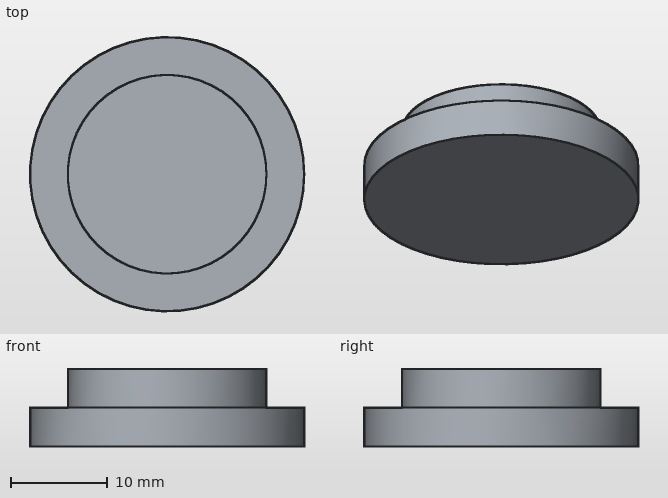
import cadquery as cq

BASE_DIAMETER = 28.3
CAP_DIAMETER = 20.5
TOTAL_HEIGHT = 8.0

DISC_THICKNESS = TOTAL_HEIGHT / 2


def make_base():
    """Wide disc standing on the XY plane."""
    return cq.Workplane("XY").circle(BASE_DIAMETER / 2).extrude(DISC_THICKNESS)


def make_cap():
    """Narrower concentric disc resting on the top face of the base."""
    return (
        cq.Workplane("XY")
        .workplane(offset=DISC_THICKNESS)
        .circle(CAP_DIAMETER / 2)
        .extrude(DISC_THICKNESS)
    )


base = make_base()
cap = make_cap()

result = cq.Compound.makeCompound([base.val(), cap.val()])